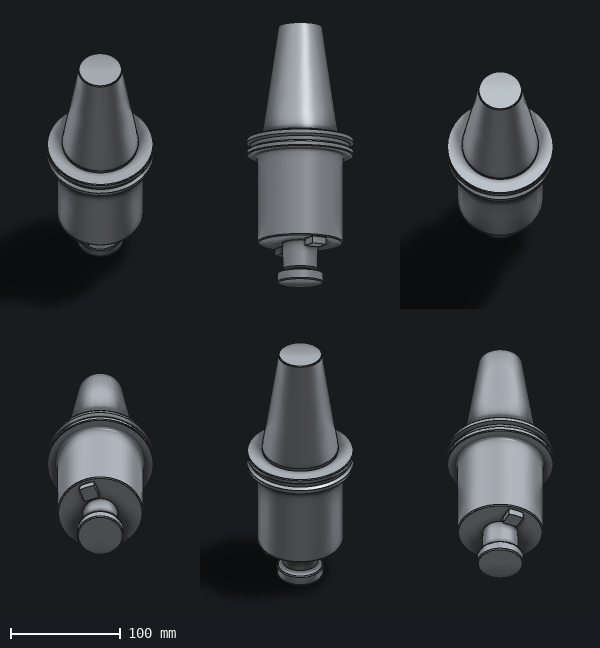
import cadquery as cq
import math

GAUGE_DIAMETER = 69.85
TAPER_LENGTH = 101.75
TAPER_RATIO = 7 / 24
TAPER_TIP_CHAMFER = 0.8
NECK_DIAMETER = 68.4
NECK_STEP = 0.5

FLANGE_DIAMETER = 97.5
FLANGE_TOP_Z = -3.2
FLANGE_BOTTOM_Z = -19.1
FLANGE_CHAMFER = 0.8
GROOVE_Z = -11.1
GROOVE_FLOOR_DIAMETER = 91.25
GROOVE_FLOOR_WIDTH = 3.75
GROOVE_WALL_ANGLE = 30

BODY_DIAMETER = 78.0
BODY_BOTTOM_Z = -100.0
BODY_CHAMFER = 1.0
BODY_FILLET = 3.0

SPIGOT_DIAMETER = 32.0
SPIGOT_LENGTH = 24.0
SCREW_NECK_DIAMETER = 16.0
SCREW_NECK_LENGTH = 3.25
SCREW_HEAD_DIAMETER = 42.0
SCREW_HEAD_CHAMFER = 1.0
SCREW_BOTTOM_Z = -137.0

KEY_WIDTH = 14.0
KEY_HEIGHT = 6.5
KEY_INNER_Y = 21.0
KEY_OUTER_RADIUS = 35.0


def revolve_profile(points):
    """Solid of revolution about Z from (radius, z) points."""
    return cq.Workplane("XZ").polyline(points).close().revolve(360, (0, 0, 0), (0, 1, 0))


def make_taper():
    gauge_radius = GAUGE_DIAMETER / 2
    tip_radius = gauge_radius - TAPER_LENGTH * TAPER_RATIO / 2
    neck_radius = NECK_DIAMETER / 2
    return revolve_profile([
        (0, FLANGE_TOP_Z),
        (neck_radius, FLANGE_TOP_Z),
        (neck_radius, -NECK_STEP),
        (gauge_radius, 0),
        (tip_radius, TAPER_LENGTH - TAPER_TIP_CHAMFER),
        (tip_radius - TAPER_TIP_CHAMFER, TAPER_LENGTH),
        (0, TAPER_LENGTH),
    ])


def make_flange():
    rim_radius = FLANGE_DIAMETER / 2
    floor_radius = GROOVE_FLOOR_DIAMETER / 2
    floor_half = GROOVE_FLOOR_WIDTH / 2
    mouth_half = floor_half + (rim_radius - floor_radius) * math.tan(math.radians(GROOVE_WALL_ANGLE))
    return revolve_profile([
        (0, FLANGE_BOTTOM_Z),
        (rim_radius - FLANGE_CHAMFER, FLANGE_BOTTOM_Z),
        (rim_radius, FLANGE_BOTTOM_Z + FLANGE_CHAMFER),
        (rim_radius, GROOVE_Z - mouth_half),
        (floor_radius, GROOVE_Z - floor_half),
        (floor_radius, GROOVE_Z + floor_half),
        (rim_radius, GROOVE_Z + mouth_half),
        (rim_radius, FLANGE_TOP_Z - FLANGE_CHAMFER),
        (rim_radius - FLANGE_CHAMFER, FLANGE_TOP_Z),
        (0, FLANGE_TOP_Z),
    ])


def make_cylinder(diameter, bottom_z, top_z):
    return cq.Workplane("XY").workplane(offset=bottom_z).circle(diameter / 2).extrude(top_z - bottom_z)


def make_body():
    """Body chamfered at the bottom and flaring in a fillet into the underside of the flange."""
    radius = BODY_DIAMETER / 2
    return (
        cq.Workplane("XZ")
        .moveTo(0, BODY_BOTTOM_Z)
        .lineTo(radius - BODY_CHAMFER, BODY_BOTTOM_Z)
        .lineTo(radius, BODY_BOTTOM_Z + BODY_CHAMFER)
        .lineTo(radius, FLANGE_BOTTOM_Z - BODY_FILLET)
        .tangentArcPoint((radius + BODY_FILLET, FLANGE_BOTTOM_Z), relative=False)
        .lineTo(0, FLANGE_BOTTOM_Z)
        .close()
        .revolve(360, (0, 0, 0), (0, 1, 0))
    )


def make_spigot_and_screw():
    spigot_bottom_z = BODY_BOTTOM_Z - SPIGOT_LENGTH
    head_top_z = spigot_bottom_z - SCREW_NECK_LENGTH
    spigot = make_cylinder(SPIGOT_DIAMETER, spigot_bottom_z, BODY_BOTTOM_Z)
    neck = make_cylinder(SCREW_NECK_DIAMETER, head_top_z, spigot_bottom_z)
    head = make_cylinder(SCREW_HEAD_DIAMETER, SCREW_BOTTOM_Z, head_top_z)
    head = head.faces("<Z or >Z").chamfer(SCREW_HEAD_CHAMFER)
    return spigot.union(neck).union(head)


def make_key(side):
    """Drive key with a flat inner face and a round outer face; side is +1 or -1 along Y."""
    half_width = KEY_WIDTH / 2
    corner_y = math.sqrt(KEY_OUTER_RADIUS**2 - half_width**2)
    return (
        cq.Workplane("XY")
        .workplane(offset=BODY_BOTTOM_Z - KEY_HEIGHT)
        .moveTo(-half_width, side * KEY_INNER_Y)
        .lineTo(half_width, side * KEY_INNER_Y)
        .lineTo(half_width, side * corner_y)
        .threePointArc((0, side * KEY_OUTER_RADIUS), (-half_width, side * corner_y))
        .close()
        .extrude(KEY_HEIGHT)
    )


result = make_taper().union(make_flange()).union(make_body()).union(make_spigot_and_screw())
for key_side in (1, -1):
    result = result.union(make_key(key_side))